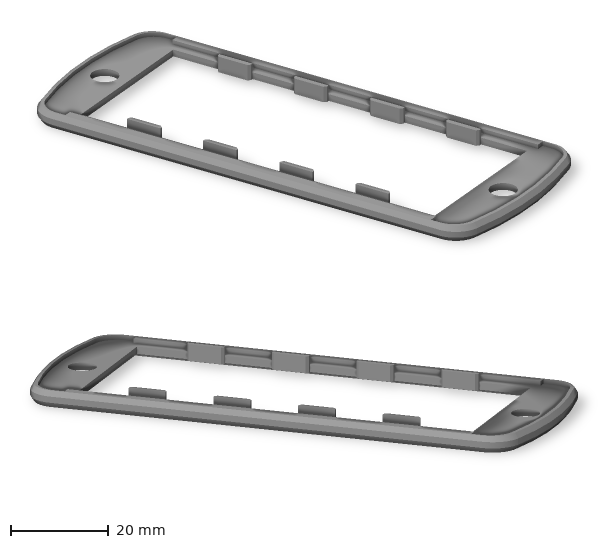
import cadquery as cq
import math

length = 110.6
width = 44.6
plate_height = 3.5
end_radius = 73.0
corner_radius = 6.3

bevel_inset = 0.8
bevel_height = 1.1

recess_depth = 1.0
end_lip = 1.5
side_lip = 1.1

rail_length = 88.7
rail_inner_spacing = 38.9

window_length = 85.8
window_width = 35.1
hole_diameter = 6.0
hole_spacing = 96.7

tab_count = 4
tab_pitch = 18.5
tab_length = 8.1
tab_thickness = 1.1
tab_corner = 0.5
tab_top = 4.5
tab_bottom = recess_depth


def bowed_outline(outline_length, outline_width, bow_radius, fillet_radius, height):
    """Prism with straight sides, bowed ends and rounded corners, standing on Z = 0."""
    half_length = outline_length / 2
    half_width = outline_width / 2
    bow = bow_radius - math.sqrt(bow_radius**2 - half_width**2)
    corner_x = half_length - bow
    return (
        cq.Workplane("XY")
        .moveTo(-corner_x, -half_width)
        .lineTo(corner_x, -half_width)
        .threePointArc((half_length, 0), (corner_x, half_width))
        .lineTo(-corner_x, half_width)
        .threePointArc((-half_length, 0), (-corner_x, -half_width))
        .close()
        .extrude(height)
        .edges("|Z")
        .fillet(fillet_radius)
    )


def make_plate():
    """Outer body with its top and bottom edges bevelled."""
    plate = bowed_outline(length, width, end_radius, corner_radius, plate_height)
    return plate.faces("<Z or >Z").chamfer(bevel_height, bevel_inset)


def make_recess():
    """Recess volume standing on Z = 0, with the two rails left out of it."""
    recess = bowed_outline(
        length - 2 * end_lip,
        width - 2 * side_lip,
        end_radius - end_lip,
        corner_radius - side_lip,
        recess_depth,
    )
    rail_width = (width - rail_inner_spacing) / 2
    rail_y = (rail_inner_spacing + rail_width) / 2
    rails = (
        cq.Workplane("XY")
        .pushPoints([(0, -rail_y), (0, rail_y)])
        .box(rail_length, rail_width, recess_depth, centered=(True, True, False))
    )
    return recess.cut(rails)


def make_tab(x, side):
    """Upright tab on one long window wall; side is +1 or -1 along Y."""
    wall_y = side * window_width / 2
    inner_y = wall_y - side * tab_thickness
    half = tab_length / 2
    return (
        cq.Workplane("XY", origin=(x, 0, tab_bottom))
        .polyline(
            [
                (-half, wall_y),
                (-half, inner_y + side * tab_corner),
                (-half + tab_corner, inner_y),
                (half - tab_corner, inner_y),
                (half, inner_y + side * tab_corner),
                (half, wall_y),
            ]
        )
        .close()
        .extrude(tab_top - tab_bottom)
    )


window = cq.Workplane("XY").rect(window_length, window_width).extrude(plate_height)
end_holes = (
    cq.Workplane("XY")
    .pushPoints([(-hole_spacing / 2, 0), (hole_spacing / 2, 0)])
    .circle(hole_diameter / 2)
    .extrude(plate_height)
)

bottom_recess = make_recess()
top_recess = bottom_recess.translate((0, 0, plate_height - recess_depth))

result = make_plate().cut(bottom_recess).cut(top_recess).cut(window).cut(end_holes)
for index in range(tab_count):
    tab_x = (index - (tab_count - 1) / 2) * tab_pitch
    for side in (-1, 1):
        result = result.union(make_tab(tab_x, side))